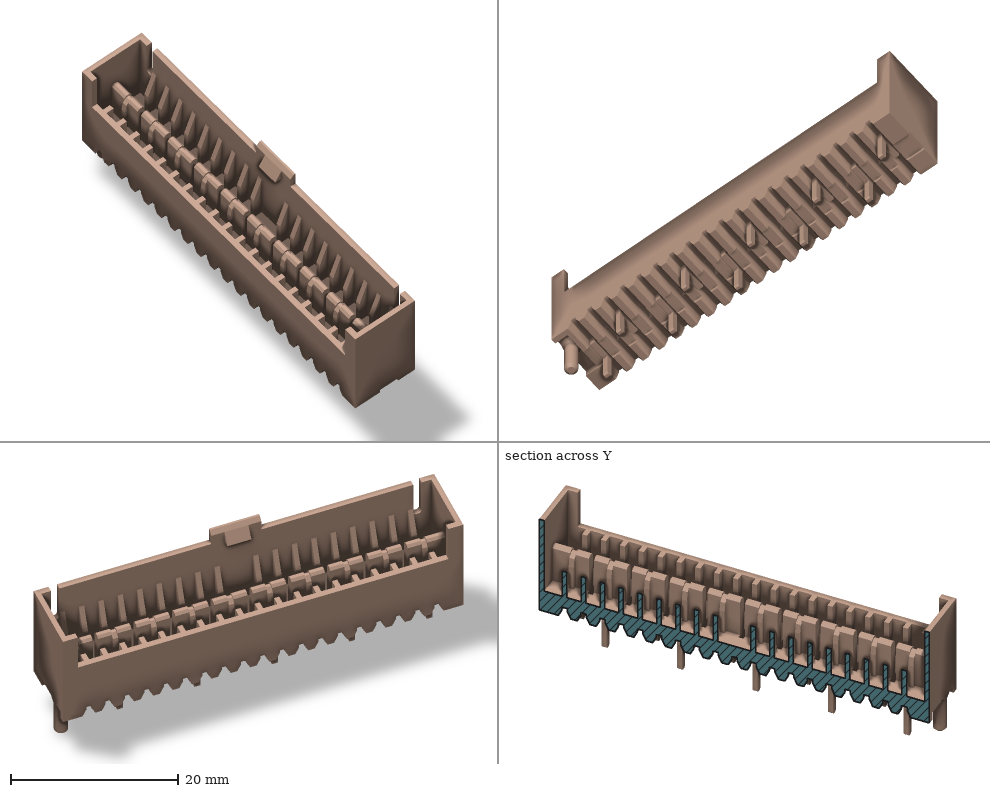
import cadquery as cq

LENGTH = 51.7
WIDTH = 9.2
HEIGHT = 13.7
SIDE_WALL = 0.8
END_WALL = 0.65
FLOOR_TOP = 3.1

HALF_LENGTH = LENGTH / 2
HALF_WIDTH = WIDTH / 2
INNER_Y = HALF_WIDTH - SIDE_WALL

POSITIONS = 19
ROW_SPAN = 45.0
PITCH = ROW_SPAN / (POSITIONS - 1)
CONTACT_WIDTH = 0.65
CONTACT_X = [-ROW_SPAN / 2 + i * PITCH for i in range(POSITIONS)]
LOADED_X = CONTACT_X[::2]
MIDDLE_POSITION = POSITIONS // 2

SILL_Z = 8.6
CORNER_POST = 1.9
SLIT_WIDTH = 1.1
SLIT_FILLET = 0.4

RAIL_WIDTH = 1.1
RAIL_TOP = 8.25
RAIL_CHAMFER = 0.3

BACK_RIB_DEPTH = 1.25
BACK_RIB_TOP = 9.6
BACK_RIB_SHOULDER = 6.35
FRONT_RIB_DEPTH = 1.1

TAB_WIDTH = 6.45
TAB_RISE = 1.9
TAB_BEVEL = 0.5
CATCH_WIDTH = 3.1
CATCH_DEPTH = 1.0
CATCH_BOTTOM = 13.6

NOTCH_HEIGHT = 1.4
NOTCH_FLARE_HEIGHT = 1.0
NOTCH_FOOT_WIDTH = 1.65
CHANNEL_BACK_Y = 2.0
CHANNEL_FRONT_Y = -0.85
CHANNEL_HEIGHT = 0.45
RECESS_FRONT_Y = -3.9
RECESS_HEIGHT = 1.1
RECESS_DEPTH = 1.7
RECESS_STEP_DEPTH = 1.9

PEG_DIAMETER = 1.7
PEG_LENGTH = 4.3
PEG_CHAMFER = 0.35
PEG_X = -HALF_LENGTH + PEG_DIAMETER / 2
PEG_Y = -1.85
ROOT_DIAMETER = 2.6

SLOT_HALF = 1.05
BLADE_HALF = 1.0
BLADE_SHOULDER_Z = 6.25
TIP_BASE_HALF = 0.8
TIP_BASE_Z = 7.45
TIP_HALF = 0.2
TIP_Z = TIP_BASE_Z + TIP_BASE_HALF - TIP_HALF
BAR_BOTTOM = 0.3
LEG_Y = 1.9
LEG_THICKNESS = 0.8
LEG_LENGTH = 3.3
LEG_CHAMFER = 0.2

CLEARANCE = 0.5


def box(x0, x1, y0, y1, z0, z1):
    """Box between two opposite corners."""
    return cq.Workplane("XY").box(x1 - x0, y1 - y0, z1 - z0, centered=False).translate((x0, y0, z0))


def bar_along_x(points_yz, x_center, length):
    """Closed (y, z) outline extruded along X, centred on x_center."""
    profile = cq.Workplane("YZ").polyline(points_yz).close().extrude(length / 2, both=True)
    return profile.translate((x_center, 0, 0))


def shell():
    """Open-topped box with a cut-down front wall and a slit at each end of the back wall."""
    body = box(-HALF_LENGTH, HALF_LENGTH, -HALF_WIDTH, HALF_WIDTH, 0, HEIGHT)
    inner_x = HALF_LENGTH - END_WALL
    body = body.cut(box(-inner_x, inner_x, -INNER_Y, INNER_Y, FLOOR_TOP, HEIGHT))

    window_x = HALF_LENGTH - CORNER_POST
    body = body.cut(box(-window_x, window_x, -HALF_WIDTH, -INNER_Y, SILL_Z, HEIGHT))

    slit = box(-window_x, -window_x + SLIT_WIDTH, INNER_Y, HALF_WIDTH, SILL_Z, HEIGHT)
    slit = slit.edges("|Y and <Z").fillet(SLIT_FILLET)
    return body.cut(slit).cut(slit.mirror("YZ"))


def rail():
    """Chamfered centre rail joining the two end walls."""
    half = RAIL_WIDTH / 2
    bar = box(-HALF_LENGTH + END_WALL, HALF_LENGTH - END_WALL, -half, half, FLOOR_TOP, RAIL_TOP)
    return bar.edges("|X and >Z").chamfer(RAIL_CHAMFER)


def back_rib(x):
    """Guide rib on the back wall, with a steep lead-in slope."""
    nose_y = INNER_Y - BACK_RIB_DEPTH
    outline = [
        (INNER_Y, FLOOR_TOP),
        (nose_y, FLOOR_TOP),
        (nose_y, BACK_RIB_SHOULDER),
        (INNER_Y, BACK_RIB_TOP),
    ]
    return bar_along_x(outline, x, CONTACT_WIDTH)


def front_rib(x):
    """Plain rib on the front wall, level with its sill."""
    half = CONTACT_WIDTH / 2
    return box(x - half, x + half, -INNER_Y, -INNER_Y + FRONT_RIB_DEPTH, FLOOR_TOP, SILL_Z)


def latch_tab():
    """Bevelled tab above the back wall with a wedge-shaped catch facing inward."""
    top = HEIGHT + TAB_RISE
    tab = box(-TAB_WIDTH / 2, TAB_WIDTH / 2, INNER_Y, HALF_WIDTH, HEIGHT, top)
    tab = tab.edges("<Y and >Z").chamfer(TAB_BEVEL)
    catch_y = INNER_Y - CATCH_DEPTH
    catch = [(INNER_Y, CATCH_BOTTOM), (catch_y, CATCH_BOTTOM), (INNER_Y, top - TAB_BEVEL)]
    return tab.union(bar_along_x(catch, 0, CATCH_WIDTH))


def contact_slot(x):
    """Slot through the rail and the floor."""
    half = CONTACT_WIDTH / 2
    return box(x - half, x + half, -SLOT_HALF, SLOT_HALF, 0, RAIL_TOP)


def underside_notch(x):
    """Flared notch across the whole width of the underside."""
    neck = CONTACT_WIDTH / 2
    foot = NOTCH_FOOT_WIDTH / 2
    outline = [
        (x - foot, 0),
        (x - neck, NOTCH_FLARE_HEIGHT),
        (x - neck, NOTCH_HEIGHT),
        (x + neck, NOTCH_HEIGHT),
        (x + neck, NOTCH_FLARE_HEIGHT),
        (x + foot, 0),
    ]
    return cq.Workplane("XZ").polyline(outline).close().extrude(HALF_WIDTH + CLEARANCE, both=True)


def underside_channel():
    """Shallow channel running the full length of the underside."""
    return box(-HALF_LENGTH, HALF_LENGTH, CHANNEL_FRONT_Y, CHANNEL_BACK_Y, 0, CHANNEL_HEIGHT)


def end_recess():
    """Recess around the peg root, with a shallower step behind it."""
    x0 = -HALF_LENGTH
    upper = box(x0, x0 + RECESS_DEPTH, RECESS_FRONT_Y, CHANNEL_BACK_Y, 0, RECESS_HEIGHT)
    lower = box(x0, x0 + RECESS_STEP_DEPTH, RECESS_FRONT_Y, CHANNEL_BACK_Y, 0, CHANNEL_HEIGHT)
    return upper.union(lower)


def peg():
    """Round locating peg under a conical root that is trimmed flush with the end wall."""
    pin = cq.Workplane("XY").circle(PEG_DIAMETER / 2).extrude(PEG_LENGTH + CHANNEL_HEIGHT)
    pin = pin.faces("<Z").chamfer(PEG_CHAMFER).translate((PEG_X, PEG_Y, -PEG_LENGTH))

    root = cq.Workplane("XY", origin=(PEG_X, PEG_Y, CHANNEL_HEIGHT)).circle(PEG_DIAMETER / 2)
    root = root.workplane(offset=RECESS_HEIGHT - CHANNEL_HEIGHT).circle(ROOT_DIAMETER / 2).loft()
    return pin.union(root.intersect(box(-HALF_LENGTH, 0, -HALF_WIDTH, HALF_WIDTH, 0, HEIGHT)))


def contact(x, side):
    """Blade standing in its slot, with a foot bar and a leg on the back (+1) or front (-1) side."""
    blade = [
        (-BLADE_HALF, BAR_BOTTOM),
        (-BLADE_HALF, BLADE_SHOULDER_Z),
        (-TIP_BASE_HALF, TIP_BASE_Z),
        (-TIP_HALF, TIP_Z),
        (TIP_HALF, TIP_Z),
        (TIP_BASE_HALF, TIP_BASE_Z),
        (BLADE_HALF, BLADE_SHOULDER_Z),
        (BLADE_HALF, BAR_BOTTOM),
    ]
    half = CONTACT_WIDTH / 2
    outer_y = LEG_Y + LEG_THICKNESS / 2
    bar = box(x - half, x + half, 0, outer_y, BAR_BOTTOM, NOTCH_HEIGHT)
    leg = box(x - half, x + half, outer_y - LEG_THICKNESS, outer_y, -LEG_LENGTH, NOTCH_HEIGHT)
    foot = bar.union(leg.edges("|X and <Z").chamfer(LEG_CHAMFER))
    if side < 0:
        foot = foot.mirror("XZ")
    return bar_along_x(blade, x, CONTACT_WIDTH).union(foot)


def join(body, parts):
    """Fuse all parts to the body in one operation."""
    return cq.Workplane(body.val().fuse(*[part.val() for part in parts]))


def carve(body, tools):
    """Cut all tools from the body in one operation."""
    return cq.Workplane(body.val().cut(*[tool.val() for tool in tools]))


ribs = [front_rib(x) for x in CONTACT_X]
ribs += [back_rib(x) for i, x in enumerate(CONTACT_X) if i != MIDDLE_POSITION]
housing = join(shell(), [rail(), latch_tab()] + ribs)

openings = [contact_slot(x) for x in CONTACT_X]
openings += [underside_notch(x) for x in CONTACT_X]
housing = carve(housing, openings)
housing = carve(housing, [underside_channel(), end_recess()])

contacts = [contact(x, 1 if i % 2 == 0 else -1) for i, x in enumerate(LOADED_X)]
part = join(housing, [peg()] + contacts).clean()
result = cq.Workplane(part.solids().val())